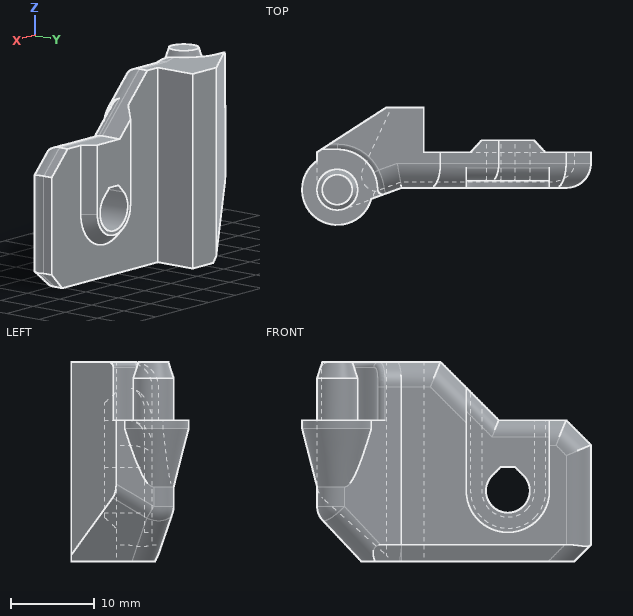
import cadquery as cq
import math


TOTAL_HEIGHT = 24.0
PIN_CHAMFER_Z = 22.0
SHOULDER_Z = 17.0
CONE_TOP_Z = 16.0
CONE_BOTTOM_Z = 9.0
BEND_Z = 6.65

PIN_RADIUS = 2.45
PIN_TIP_RADIUS = 1.8
FLANGE_RADIUS = 4.25

PLATE_FRONT_Y = 0.2
PLATE_BACK_Y = 4.5
PLATE_RIGHT_X = 30.5
BLOCK_LEFT_X = 5.9
BLOCK_RIGHT_X = 10.4
BLOCK_BACK_Y = 9.9
TOP_END_X = 12.4
UPPER_CORNER = 3.0
LOWER_CORNER = 2.0
WING_ANGLE = 20.0
BOTTOM_BEVEL_HEIGHT = 2.0
BOTTOM_BEVEL_ANGLE = 20.0
FRONT_FILLET = 3.0

POCKET_RADIUS = 4.85
POCKET_RIM_FILLET = 0.65

HOLE_X = 20.5
HOLE_Z = 8.5
HOLE_RADIUS = 2.62
HOLE_ROOF_RISE = 2.85
SEAT_RADIUS = 5.0
SEAT_FLOOR_Y = 1.1
SEAT_FILLET = 2.0
PAD_BASE_RADIUS = 4.5
PAD_TOP_RADIUS = 3.15
PAD_BACK_Y = 5.95

FAR = 60.0

WING_SIN = math.sin(math.radians(WING_ANGLE))
WING_COS = math.cos(math.radians(WING_ANGLE))
SLOPE_FALL_X = WING_COS + WING_SIN
SLOPE_RISE_Y = WING_COS - WING_SIN
STEP_X = TOP_END_X + TOTAL_HEIGHT - SHOULDER_Z


def wing_y(x):
    """Y of the front wing plane, tangent to the pin-sized neck."""
    return (x * WING_SIN - PIN_RADIUS) / WING_COS


WING_END_X = (PLATE_FRONT_Y * WING_COS + PIN_RADIUS) / WING_SIN


def front_outline(front_y, back_y):
    """Stepped outline in XZ without the lower corners, filling front_y to back_y."""
    return (
        cq.Workplane("XZ", origin=(0, front_y, 0))
        .moveTo(-PIN_RADIUS, 0)
        .lineTo(PLATE_RIGHT_X, 0)
        .lineTo(PLATE_RIGHT_X, SHOULDER_Z - UPPER_CORNER)
        .lineTo(PLATE_RIGHT_X - UPPER_CORNER, SHOULDER_Z)
        .lineTo(STEP_X, SHOULDER_Z)
        .lineTo(TOP_END_X, TOTAL_HEIGHT)
        .lineTo(-PIN_RADIUS, TOTAL_HEIGHT)
        .close()
        .extrude(front_y - back_y)
    )


def sharp_body():
    """Plate, wing and backing block with all edges sharp and the underside square."""
    plan = (
        cq.Workplane("XY")
        .moveTo(-PIN_RADIUS, wing_y(-PIN_RADIUS))
        .lineTo(WING_END_X, PLATE_FRONT_Y)
        .lineTo(PLATE_RIGHT_X, PLATE_FRONT_Y)
        .lineTo(PLATE_RIGHT_X, PLATE_BACK_Y)
        .lineTo(BLOCK_RIGHT_X, PLATE_BACK_Y)
        .lineTo(BLOCK_RIGHT_X, BLOCK_BACK_Y)
        .lineTo(BLOCK_LEFT_X, BLOCK_BACK_Y)
        .lineTo(-PIN_RADIUS, PLATE_BACK_Y)
        .close()
        .extrude(TOTAL_HEIGHT)
    )
    return plan.intersect(front_outline(-FAR, FAR))


def below_slope():
    """Half space under the lower-left slope.

    The slope runs down at 45 degrees along the wing and up at 45 degrees square to
    the wing. It is tangent to a ball of the neck radius centred at the bend.
    """
    normal = cq.Vector(-SLOPE_FALL_X, SLOPE_RISE_Y, -1).normalized()
    touch_point = cq.Vector(0, 0, BEND_Z) + normal * PIN_RADIUS
    return cq.Workplane(cq.Plane(touch_point, normal=normal)).rect(FAR, FAR).extrude(FAR)


def bevel_envelope():
    """Space behind the front faces, drawn back near the underside by the bevel."""
    plan_points = [
        (-FAR, wing_y(-FAR)),
        (WING_END_X, PLATE_FRONT_Y),
        (FAR, PLATE_FRONT_Y),
        (FAR, FAR),
        (-FAR, FAR),
    ]
    plane = cq.Workplane("XY", origin=(0, 0, BOTTOM_BEVEL_HEIGHT))
    upper = plane.polyline(plan_points).close().extrude(TOTAL_HEIGHT - BOTTOM_BEVEL_HEIGHT)
    lower = plane.polyline(plan_points).close().extrude(-BOTTOM_BEVEL_HEIGHT, taper=BOTTOM_BEVEL_ANGLE)
    return upper.union(lower)


def pin_pocket():
    """Clearance above the shoulder: round about the pin and open to the left."""
    floor = cq.Workplane("XY", origin=(0, 0, SHOULDER_Z))
    depth = TOTAL_HEIGHT - SHOULDER_Z
    round_part = floor.circle(POCKET_RADIUS).extrude(depth)
    open_part = (
        floor.moveTo(-FAR / 2, POCKET_RADIUS - FAR / 2).rect(FAR, FAR).extrude(depth)
    )
    return round_part.union(open_part)


def fillet_edges(body, radius, points_on_edges):
    """Round the edges that pass through the given points."""
    chosen = []
    for point in points_on_edges:
        vertex = cq.Vertex.makeVertex(*point)
        chosen.append(min(body.edges().vals(), key=vertex.distance))
    return body.newObject(chosen).fillet(radius)


def round_neck(body):
    """Round the three sharp edges that meet at the lower left; a ball joins them."""
    level = BEND_Z - PIN_RADIUS * math.sqrt(SLOPE_RISE_Y**2 + SLOPE_FALL_X**2 + 1)
    wall_edge = (-PIN_RADIUS, 0, level + SLOPE_FALL_X * PIN_RADIUS)
    corner_edge = (-PIN_RADIUS, wing_y(-PIN_RADIUS), SHOULDER_Z)
    wing_edge = (0, wing_y(0), level + SLOPE_RISE_Y * wing_y(0))
    return fillet_edges(body, PIN_RADIUS, [wall_edge, corner_edge, wing_edge])


def round_front(body):
    """Round the front edge along the top and down the right side."""
    wing_x = (POCKET_RADIUS + WING_END_X) / 2
    points = [
        (wing_x, wing_y(wing_x), TOTAL_HEIGHT),
        ((WING_END_X + TOP_END_X) / 2, PLATE_FRONT_Y, TOTAL_HEIGHT),
        ((TOP_END_X + STEP_X) / 2, PLATE_FRONT_Y, (TOTAL_HEIGHT + SHOULDER_Z) / 2),
        (HOLE_X, PLATE_FRONT_Y, SHOULDER_Z),
        (PLATE_RIGHT_X - UPPER_CORNER / 2, PLATE_FRONT_Y, SHOULDER_Z - UPPER_CORNER / 2),
        (PLATE_RIGHT_X, PLATE_FRONT_Y, HOLE_Z),
    ]
    return fillet_edges(body, FRONT_FILLET, points)


def underside_envelope():
    """Beveled space with the lower right corner cut at 45 degrees and rounded in front."""
    corner_cut = (
        cq.Workplane("XZ", origin=(0, -FAR, 0))
        .moveTo(PLATE_RIGHT_X - LOWER_CORNER, 0)
        .lineTo(PLATE_RIGHT_X - LOWER_CORNER + TOTAL_HEIGHT, TOTAL_HEIGHT)
        .lineTo(2 * FAR, TOTAL_HEIGHT)
        .lineTo(2 * FAR, 0)
        .close()
        .extrude(-3 * FAR)
    )
    bevel_depth = BOTTOM_BEVEL_HEIGHT * math.tan(math.radians(BOTTOM_BEVEL_ANGLE))
    corner_edge = (
        PLATE_RIGHT_X - LOWER_CORNER / 2,
        PLATE_FRONT_Y + bevel_depth / 2,
        LOWER_CORNER / 2,
    )
    return fillet_edges(bevel_envelope().cut(corner_cut), FRONT_FILLET, [corner_edge])


def seat_cutter():
    """Round-bottomed seat open at the top; the face it leaves has a rounded top edge."""
    slot = (
        cq.Workplane("XZ", origin=(HOLE_X, -FAR, HOLE_Z))
        .moveTo(-SEAT_RADIUS, FAR)
        .lineTo(-SEAT_RADIUS, 0)
        .threePointArc((0, -SEAT_RADIUS), (SEAT_RADIUS, 0))
        .lineTo(SEAT_RADIUS, FAR)
        .close()
        .extrude(-FAR - PLATE_BACK_Y)
    )
    kept = fillet_edges(
        front_outline(SEAT_FLOOR_Y, FAR),
        SEAT_FILLET,
        [
            ((TOP_END_X + STEP_X) / 2, SEAT_FLOOR_Y, (TOTAL_HEIGHT + SHOULDER_Z) / 2),
            (HOLE_X, SEAT_FLOOR_Y, SHOULDER_Z),
        ],
    )
    return slot.cut(kept)


def back_pad():
    """Raised pad behind the seat, with sloping sides, trimmed to the outline."""
    pad_height = PAD_BACK_Y - PLATE_BACK_Y
    taper = math.degrees(math.atan2(PAD_BASE_RADIUS - PAD_TOP_RADIUS, pad_height))
    pad = (
        cq.Workplane("XZ", origin=(HOLE_X, PLATE_BACK_Y, HOLE_Z))
        .moveTo(-PAD_BASE_RADIUS, FAR)
        .lineTo(-PAD_BASE_RADIUS, 0)
        .threePointArc((0, -PAD_BASE_RADIUS), (PAD_BASE_RADIUS, 0))
        .lineTo(PAD_BASE_RADIUS, FAR)
        .close()
        .extrude(-pad_height, taper=taper)
    )
    return pad.intersect(front_outline(0, FAR))


def screw_hole():
    """Through hole whose round top is replaced by 45 degree sides and a flat roof."""
    tangent = HOLE_RADIUS / math.sqrt(2)
    roof_half_width = 2 * tangent - HOLE_ROOF_RISE
    return (
        cq.Workplane("XZ", origin=(HOLE_X, -FAR, HOLE_Z))
        .moveTo(-tangent, tangent)
        .threePointArc((0, -HOLE_RADIUS), (tangent, tangent))
        .lineTo(roof_half_width, HOLE_ROOF_RISE)
        .lineTo(-roof_half_width, HOLE_ROOF_RISE)
        .close()
        .extrude(-2 * FAR)
    )


def hinge_pin():
    """Pin, flange and supporting cone, turned about the Z axis."""
    return (
        cq.Workplane("XZ")
        .moveTo(0, CONE_BOTTOM_Z)
        .lineTo(PIN_RADIUS, CONE_BOTTOM_Z)
        .lineTo(FLANGE_RADIUS, CONE_TOP_Z)
        .lineTo(FLANGE_RADIUS, SHOULDER_Z)
        .lineTo(PIN_RADIUS, SHOULDER_Z)
        .lineTo(PIN_RADIUS, PIN_CHAMFER_Z)
        .lineTo(PIN_TIP_RADIUS, TOTAL_HEIGHT)
        .lineTo(0, TOTAL_HEIGHT)
        .close()
        .revolve(360, (0, 0, 0), (0, 1, 0))
    )


def round_pocket_rim(body):
    """Round the edge of the pocket along the top and down the wing."""
    diagonal = POCKET_RADIUS / math.sqrt(2)
    return fillet_edges(body, POCKET_RIM_FILLET, [(diagonal, diagonal, TOTAL_HEIGHT)])


body = sharp_body().cut(below_slope())
body = round_neck(body).cut(pin_pocket())
body = round_front(body).intersect(underside_envelope())
body = round_pocket_rim(body)
body = body.cut(seat_cutter()).union(back_pad())
result = body.cut(screw_hole()).union(hinge_pin())